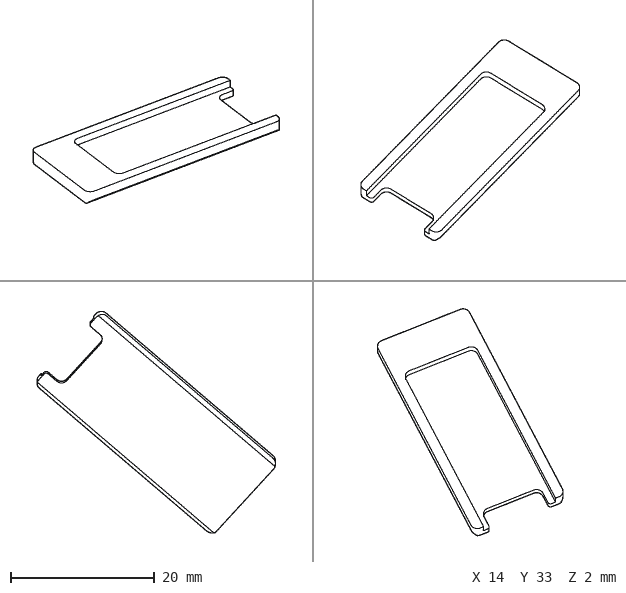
import cadquery as cq

width = 14.0
length = 33.0
height = 2.0
corner_radius = 1.0
edge_chamfer = 0.6

recess_width = 11.0
end_land = 6.0
recess_depth = 1.1
recess_radius = 1.0

notch_width = 9.0
notch_depth = 3.0
notch_radius = 1.0
tip_radius = 0.4

back = length / 2
recess_length = length - end_land


def make_plate():
    """Plate with bevelled lower long edges and rounded vertical corners."""
    block = cq.Workplane("XY").box(width, length, height, centered=(True, True, False))
    bevelled = block.edges("|Y and <Z").chamfer(edge_chamfer)
    outline = (
        cq.Workplane("XY")
        .rect(width, length)
        .extrude(height)
        .edges("|Z")
        .fillet(corner_radius)
    )
    return bevelled.intersect(outline)


def open_pocket(pocket_width, pocket_length, radius, bottom, top):
    """Cutter reaching inward from the +Y end, with rounded inner corners."""
    return (
        cq.Workplane("XY", origin=(0, back - pocket_length / 2, bottom))
        .rect(pocket_width, pocket_length)
        .extrude(top - bottom)
        .edges("|Z and <Y")
        .fillet(radius)
    )


recess_floor = height - recess_depth
recess = open_pocket(recess_width, recess_length, recess_radius, recess_floor, height)
notch = open_pocket(notch_width, notch_depth, notch_radius, 0, height)

tip_edges = cq.selectors.BoxSelector(
    (-notch_width / 2 - tip_radius / 2, back - tip_radius / 2, -height),
    (notch_width / 2 + tip_radius / 2, back + tip_radius / 2, height),
)
result = make_plate().cut(recess).cut(notch).edges("|Z").edges(tip_edges).fillet(tip_radius)